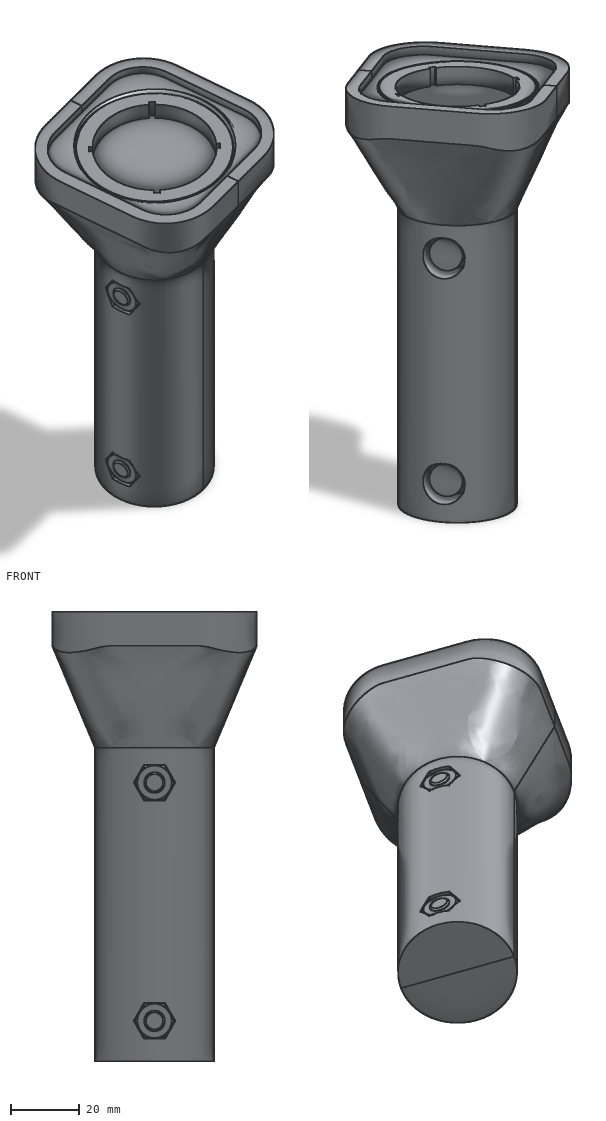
import cadquery as cq
import math

total_height = 132.0
grip_diameter = 35.0
grip_radius = grip_diameter / 2
grip_height = 92.1
head_width = 60.0
head_corner_radius = 17.2
head_side_height = 10.0
head_base = total_height - head_side_height
neck_height = head_base - grip_height

recess_width = 52.0
recess_corner_radius = 12.3
plate_drop = 2.6
ring_height = 5.5
lens_thickness = 2.6
plate_thickness = ring_height + lens_thickness
plate_top = total_height - plate_drop
recess_floor = plate_top - plate_thickness
plate_hole_radius = 23.4

ring_radius = 23.0
ring_bore_radius = 18.2
key_slot_count = 4
key_slot_angle = 37.0
key_slot_width = 1.8
key_slot_depth = 1.0

groove_pitch = 2.0
groove_width = 1.5
groove_root_radius = 24.8
groove_turns = 2.0
groove_exit_angle = 119.0
groove_overlap = 0.1

screw_heights = (11.9, 81.8)
screw_radius = 3.0
screw_end = 17.4
screw_end_chamfer = 0.5
screw_head_radius = 5.0
screw_head_height = 6.0
counterbore_radius = 6.3
counterbore_floor = 7.9
nut_flats = 10.0
nut_thickness = 5.0
nut_chamfer = 0.7
nut_pocket_flats = 10.5
nut_face = 16.8
nut_seat = nut_face - nut_thickness


def mix(start, end, share):
    return start + (end - start) * share


def rounded_square(width, corner_radius, bottom, height):
    block = cq.Workplane("XY").workplane(offset=bottom).rect(width, width).extrude(height)
    return block.edges("|Z").fillet(corner_radius)


def y_cylinder(radius, y_start, y_end, z):
    """Cylinder along +Y between two Y positions."""
    plane = cq.Plane(origin=(0, y_start, z), xDir=(1, 0, 0), normal=(0, 1, 0))
    return cq.Workplane(plane).circle(radius).extrude(y_end - y_start)


def y_hexagon(flats, y_start, y_end, z):
    """Hexagonal prism along +Y with two corners on the X direction."""
    plane = cq.Plane(origin=(0, y_start, z), xDir=(1, 0, 0), normal=(0, 1, 0))
    return cq.Workplane(plane).polygon(6, flats / math.cos(math.pi / 6)).extrude(y_end - y_start)


def quarter_turned(x, y, quarters):
    """Point turned about the Z axis by a number of right angles."""
    angle = quarters * math.pi / 2
    return (
        x * math.cos(angle) - y * math.sin(angle),
        x * math.sin(angle) + y * math.cos(angle),
    )


def neck_section(share, side_reach):
    """Neck outline at a share of the neck height.

    Each side bulges from a quarter circle (share 0) to a straight line (share 1) and ends
    side_reach from its middle; tangent arcs round the four corners.
    """
    middle = mix(grip_radius, head_width / 2, share)
    sharp_corner = mix(grip_radius * math.sqrt(0.5), head_width / 2, share)
    bulge = middle - sharp_corner
    if share == 0:
        side_end = math.sqrt(grip_radius**2 - side_reach**2)
    else:
        side_end = middle - bulge * (side_reach / sharp_corner) ** 2
    end_slope = 2 * math.atan((middle - side_end) / side_reach)
    corner_turn = math.pi / 2 - 2 * end_slope
    corner_chord = math.sqrt(2) * (side_end - side_reach)
    corner_rise = corner_chord / 2 * math.tan(corner_turn / 4)
    diagonal = (side_reach + side_end) / 2 + corner_rise * math.sqrt(0.5)

    outline = cq.Workplane("XY").workplane(offset=mix(grip_height, head_base, share))
    outline = outline.moveTo(-side_reach, -side_end)
    for quarter in range(4):
        side_finish = quarter_turned(side_reach, -side_end, quarter)
        if share == 1:
            outline = outline.lineTo(*side_finish)
        else:
            outline = outline.threePointArc(quarter_turned(0, -middle, quarter), side_finish)
        outline = outline.threePointArc(
            quarter_turned(diagonal, -diagonal, quarter),
            quarter_turned(side_end, -side_reach, quarter),
        )
    return outline.close().val()


def make_neck():
    stations = ((0, 12.3), (0.2, 9.8), (0.5, 11.4), (1, 16.0))
    sections = [neck_section(share, reach) for share, reach in stations]
    flare = cq.Workplane(cq.Solid.makeLoft(sections))
    limit = rounded_square(head_width, head_corner_radius, grip_height, neck_height)
    return flare.intersect(limit)


def make_housing():
    grip = cq.Workplane("XY").circle(grip_radius).extrude(grip_height)
    head = rounded_square(head_width, head_corner_radius, head_base, head_side_height)
    housing = grip.union(make_neck()).union(head)
    housing = housing.cut(
        rounded_square(recess_width, recess_corner_radius, recess_floor, total_height - recess_floor)
    )
    for z in screw_heights:
        housing = housing.cut(y_cylinder(screw_radius, -grip_radius, grip_radius, z))
        housing = housing.cut(y_cylinder(counterbore_radius, counterbore_floor, grip_radius, z))
        housing = housing.cut(y_hexagon(nut_pocket_flats, -grip_radius, -nut_seat, z))
    return housing


def housing_half(housing, side):
    """Half of the housing on the +Y (side = 1) or -Y (side = -1) side of the parting plane."""
    half_space = cq.Workplane("XY").box(head_width, head_width, total_height, centered=(True, True, False))
    return housing.intersect(half_space.translate((0, side * head_width / 2, 0)))


def make_thread_groove():
    """V-shaped helical cutter whose centre leaves the plate top at groove_exit_angle."""
    inner = plate_hole_radius - groove_overlap
    helix_height = groove_pitch * groove_turns
    helix = cq.Wire.makeHelix(groove_pitch, helix_height, inner)
    profile = (
        cq.Workplane("XZ")
        .moveTo(inner, -groove_width / 2)
        .lineTo(groove_root_radius, 0)
        .lineTo(inner, groove_width / 2)
        .close()
    )
    cutter = profile.sweep(cq.Workplane(helix), isFrenet=True)
    cutter = cutter.rotate((0, 0, 0), (0, 0, 1), groove_exit_angle)
    return cutter.translate((0, 0, plate_top - helix_height + groove_pitch))


def make_plate():
    plate = rounded_square(recess_width, recess_corner_radius, recess_floor, plate_thickness)
    hole = cq.Workplane("XY").workplane(offset=recess_floor).circle(plate_hole_radius)
    plate = plate.cut(hole.extrude(plate_thickness))
    return plate.cut(make_thread_groove())


def make_ring():
    base = cq.Workplane("XY").workplane(offset=plate_top - ring_height)
    ring = base.circle(ring_radius).circle(ring_bore_radius).extrude(ring_height)
    slot_reach = ring_bore_radius + key_slot_depth
    slot = base.center(slot_reach / 2, 0).rect(slot_reach, key_slot_width).extrude(ring_height)
    for index in range(key_slot_count):
        angle = key_slot_angle + index * 360 / key_slot_count
        ring = ring.cut(slot.rotate((0, 0, 0), (0, 0, 1), angle))
    return ring


def make_lens():
    base = cq.Workplane("XY").workplane(offset=recess_floor)
    return base.circle(plate_hole_radius).extrude(lens_thickness)


def make_screw(z):
    shank = y_cylinder(screw_radius, -screw_end, counterbore_floor, z)
    shank = shank.faces("<Y").chamfer(screw_end_chamfer)
    head = y_cylinder(screw_head_radius, counterbore_floor, counterbore_floor + screw_head_height, z)
    return shank.union(head)


def make_nut(z):
    nut = y_hexagon(nut_flats, -nut_face, -nut_seat, z)
    corner_radius = nut_flats / math.sqrt(3)
    blank = y_cylinder(corner_radius, -nut_face, -nut_seat, z)
    blank = blank.faces("<Y").chamfer(nut_chamfer, corner_radius - nut_flats / 2)
    return nut.intersect(blank).cut(y_cylinder(screw_radius, -nut_face, -nut_seat, z))


housing = make_housing()
housing_halves = [housing_half(housing, side) for side in (1, -1)]
plate = make_plate()
ring = make_ring()
lens = make_lens()
screws = [make_screw(z) for z in screw_heights]
nuts = [make_nut(z) for z in screw_heights]

bodies = [*housing_halves, plate, ring, lens, *screws, *nuts]
result = cq.Compound.makeCompound([body.solids().val() for body in bodies])